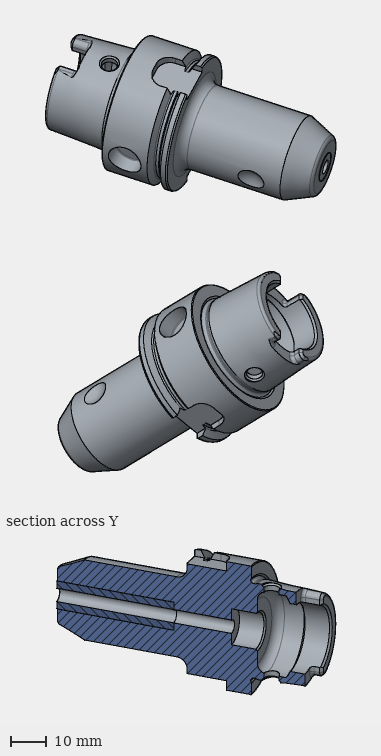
import cadquery as cq
import math


taper_end_x = -19.9
nose_face_x = 59.8
sleeve_end_x = 60.0

taper_radius = 15.0
taper_large_x = -2.0
taper_slope = 0.05
taper_end_radius = taper_radius - taper_slope * (taper_large_x - taper_end_x)
rim_size = 0.8
neck_radius = 14.75
neck_start_x = -1.0
neck_blend_x = -1.25
neck_blend_radius = 14.8
neck_root_fillet = 0.9
face_relief_radius = 16.25
face_relief_depth = 0.3

flange_radius = 20.0
flange_length = 20.0
flange_front_chamfer = 0.25
flange_rear_chamfer_length = 0.5
flange_rear_chamfer_depth = 0.25
groove_start_x = 13.9
groove_end_x = 18.0
groove_floor_start_x = 15.1
groove_floor_end_x = 16.8
groove_floor_radius = 17.5
groove_fillet = 0.4

nose_radius = 12.5
nose_fillet = 3.0
nose_cone_start_x = 51.4
nose_cone_angle = math.radians(24)
nose_edge_fillet = 1.35
nose_cone_end_x = nose_face_x - nose_edge_fillet * (1 - math.sin(nose_cone_angle))
nose_cone_end_radius = nose_radius - (nose_cone_end_x - nose_cone_start_x) * math.tan(nose_cone_angle)
nose_face_radius = nose_cone_end_radius - nose_edge_fillet * math.cos(nose_cone_angle)

bore_radius = 10.45
bore_chamfer = 0.6
undercut_radius = 12.6
undercut_start_x = -11.8
undercut_angle = math.radians(60)
undercut_cone_end_x = undercut_start_x + (undercut_radius - bore_radius) / math.tan(undercut_angle)
cavity_floor_x = -1.8
cavity_floor_fillet = 2.7
socket_radius = 5.5
socket_chamfer = 0.5
socket_depth = 8.0
coolant_radius = 2.0

sleeve_radius = 4.25
sleeve_length = 36.0
sleeve_start_x = sleeve_end_x - sleeve_length

slot_half_width = 4.025
slot_ear_top = 12.8
slot_ear_round = 1.6
slot_ear_slope = math.radians(15)
slot_end_fillet = 1.0
slot_overrun = 0.5
upper_slot_end_x = -13.7
lower_slot_end_x = -16.4

cross_hole_x = -6.05
cross_hole_radius = 2.3
cross_hole_countersink_radius = 2.8

key_floor = 17.07
key_half_width = 5.42
key_start_x = 7.85
key_corner_radius = 4.0
chip_hole_x = 7.05
chip_hole_radius = 5.0
chip_hole_floor = 14.8
chip_hole_floor_fillet = 0.2

dimple_x = 42.5
dimple_sphere_radius = 6.0
dimple_center_distance = 17.0


def make_turned_blank():
    profile = (
        cq.Workplane("XY")
        .moveTo(taper_end_x, 0)
        .lineTo(taper_end_x, taper_end_radius - rim_size)
        .radiusArc((taper_end_x + rim_size, taper_end_radius + rim_size * taper_slope), rim_size)
        .lineTo(taper_large_x, taper_radius)
        .lineTo(neck_blend_x, neck_blend_radius)
        .tangentArcPoint((neck_start_x, neck_radius), relative=False)
        .lineTo(face_relief_depth - neck_root_fillet, neck_radius)
        .radiusArc((face_relief_depth, neck_radius + neck_root_fillet), -neck_root_fillet)
        .lineTo(0, face_relief_radius)
        .lineTo(0, flange_radius - flange_front_chamfer)
        .lineTo(flange_front_chamfer, flange_radius)
        .lineTo(groove_start_x, flange_radius)
        .lineTo(groove_floor_start_x, groove_floor_radius + groove_fillet)
        .radiusArc((groove_floor_start_x + groove_fillet, groove_floor_radius), -groove_fillet)
        .lineTo(groove_floor_end_x - groove_fillet, groove_floor_radius)
        .radiusArc((groove_floor_end_x, groove_floor_radius + groove_fillet), -groove_fillet)
        .lineTo(groove_end_x, flange_radius)
        .lineTo(flange_length - flange_rear_chamfer_length, flange_radius)
        .lineTo(flange_length, flange_radius - flange_rear_chamfer_depth)
        .lineTo(flange_length, nose_radius + nose_fillet)
        .radiusArc((flange_length + nose_fillet, nose_radius), -nose_fillet)
        .lineTo(nose_cone_start_x, nose_radius)
        .lineTo(nose_cone_end_x, nose_cone_end_radius)
        .radiusArc((nose_face_x, nose_face_radius), nose_edge_fillet)
        .lineTo(nose_face_x, 0)
        .close()
    )
    return profile.revolve(360, (0, 0, 0), (1, 0, 0))


def make_cavity():
    socket_end_x = cavity_floor_x + socket_depth
    profile = (
        cq.Workplane("XY")
        .moveTo(taper_end_x, 0)
        .lineTo(taper_end_x, bore_radius + bore_chamfer)
        .lineTo(taper_end_x + bore_chamfer, bore_radius)
        .lineTo(undercut_start_x, bore_radius)
        .lineTo(undercut_cone_end_x, undercut_radius)
        .lineTo(cavity_floor_x - cavity_floor_fillet, undercut_radius)
        .radiusArc((cavity_floor_x, undercut_radius - cavity_floor_fillet), cavity_floor_fillet)
        .lineTo(cavity_floor_x, socket_radius + socket_chamfer)
        .lineTo(cavity_floor_x + socket_chamfer, socket_radius)
        .lineTo(socket_end_x, socket_radius)
        .lineTo(socket_end_x, coolant_radius)
        .lineTo(sleeve_start_x, coolant_radius)
        .lineTo(sleeve_start_x, sleeve_radius)
        .lineTo(nose_face_x, sleeve_radius)
        .lineTo(nose_face_x, 0)
        .close()
    )
    return profile.revolve(360, (0, 0, 0), (1, 0, 0))


def slot_section(start_x, growth=0.0):
    """Drive slot section: narrow below, open above two rounded ears, walls moved out by growth."""
    reach = flange_radius
    half_width = slot_half_width + growth
    ear_round = slot_ear_round - growth
    round_center_y = slot_half_width + slot_ear_round
    round_center_z = slot_ear_top - slot_ear_round
    slope_start_y = round_center_y + ear_round * math.sin(slot_ear_slope)
    slope_start_z = round_center_z + ear_round * math.cos(slot_ear_slope)
    slope_end_z = slope_start_z - (reach - slope_start_y) * math.tan(slot_ear_slope)
    return (
        cq.Workplane("YZ", origin=(start_x, 0, 0))
        .moveTo(-half_width, 0)
        .lineTo(-half_width, round_center_z)
        .radiusArc((-slope_start_y, slope_start_z), -ear_round)
        .lineTo(-reach, slope_end_z)
        .lineTo(-reach, reach)
        .lineTo(reach, reach)
        .lineTo(reach, slope_end_z)
        .lineTo(slope_start_y, slope_start_z)
        .radiusArc((half_width, round_center_z), -ear_round)
        .lineTo(half_width, 0)
        .close()
    )


def make_drive_slot(end_x):
    """Cutter for a slot on the +Z side, filleted at its end and flared at the taper's rim."""
    start_x = taper_end_x - slot_overrun
    wall_edges = cq.selectors.BoxSelector(
        (start_x, -taper_radius, slot_half_width), (taper_large_x, taper_radius, taper_radius)
    )
    slot = slot_section(start_x).extrude(end_x - start_x)
    slot = slot.faces(">X").edges(wall_edges).fillet(slot_end_fillet)
    rim = slot_section(start_x, rim_size + slot_overrun).val()
    throat = slot_section(taper_end_x + rim_size).val()
    flare = cq.Solid.makeLoft([rim, throat], True)
    return slot.union(cq.Workplane(flare))


def cut_drive_slots(body):
    upper_slot = make_drive_slot(upper_slot_end_x)
    lower_slot = make_drive_slot(lower_slot_end_x).rotate((0, 0, 0), (1, 0, 0), 180)
    return body.cut(upper_slot).cut(lower_slot)


def make_cross_hole():
    """Hole through both taper walls along Z, countersunk where it meets the taper."""
    taper_radius_here = taper_radius - taper_slope * (taper_large_x - cross_hole_x)
    rim_height = math.sqrt(taper_radius_here**2 - cross_hole_countersink_radius**2)
    countersink_depth = cross_hole_countersink_radius - cross_hole_radius
    half_profile = (
        cq.Workplane("XZ", origin=(cross_hole_x, 0, 0))
        .lineTo(cross_hole_radius, 0)
        .lineTo(cross_hole_radius, rim_height - countersink_depth)
        .lineTo(cross_hole_countersink_radius, rim_height)
        .lineTo(cross_hole_countersink_radius, flange_radius)
        .lineTo(0, flange_radius)
        .close()
    )
    upper_hole = half_profile.revolve(360, (0, 0, 0), (0, 1, 0))
    return upper_hole.union(upper_hole.mirror("XY"))


def make_keyway():
    """Flat-bottomed pocket in the +Z side of the flange, open toward the nose."""
    length = flange_length - key_start_x
    return (
        cq.Workplane("XY", origin=(key_start_x, 0, key_floor))
        .moveTo(length / 2, 0)
        .rect(length, 2 * key_half_width)
        .extrude(flange_radius - key_floor)
        .edges("|Z and <X")
        .fillet(key_corner_radius)
    )


def make_chip_hole():
    """Flat-bottomed round pocket in the -Y side of the flange."""
    return (
        cq.Workplane("XZ", origin=(chip_hole_x, -chip_hole_floor, 0))
        .circle(chip_hole_radius)
        .extrude(flange_radius - chip_hole_floor)
        .faces(">Y")
        .edges()
        .fillet(chip_hole_floor_fillet)
    )


def make_dimple():
    """Ball-shaped dimple cutter on the -Y side of the nose."""
    ball = cq.Workplane("XY").sphere(dimple_sphere_radius)
    return ball.translate((dimple_x, -dimple_center_distance, 0))


def cut_pairs(body):
    """Cut the pockets that repeat on opposite sides of the axis."""
    for cutter in (make_keyway(), make_chip_hole(), make_dimple()):
        for angle in (0, 180):
            body = body.cut(cutter.rotate((0, 0, 0), (1, 0, 0), angle))
    return body


def make_holder():
    body = make_turned_blank().cut(make_cavity())
    body = cut_drive_slots(body).cut(make_cross_hole())
    return cut_pairs(body)


def make_sleeve():
    """Plain bushing in the nose that carries on the coolant hole."""
    return (
        cq.Workplane("YZ", origin=(sleeve_start_x, 0, 0))
        .circle(sleeve_radius)
        .circle(coolant_radius)
        .extrude(sleeve_length)
    )


holder = make_holder()
sleeve = make_sleeve()
result = cq.Compound.makeCompound([holder.val(), sleeve.val()])